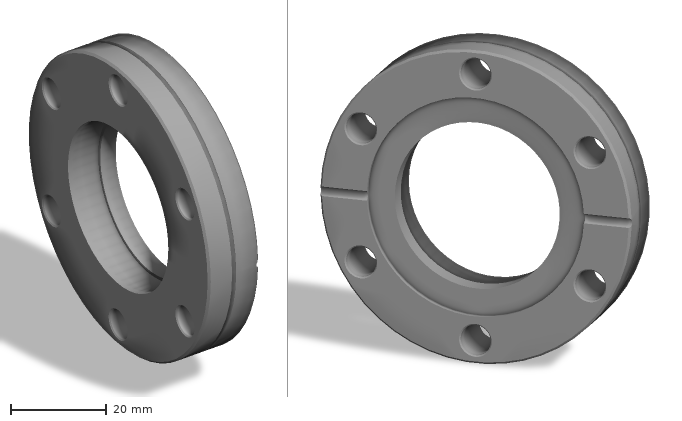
import cadquery as cq

outer_diameter = 69.1
thickness = 12.7
rim_chamfer = 0.5

bore_diameter = 36.6
counterbore_diameter = 38.2
counterbore_depth = 7.6

recess_diameter = 48.2
recess_depth = 1.25

bolt_count = 6
bolt_circle_diameter = 58.75
bolt_hole_diameter = 6.7
bolt_hole_chamfer = 0.3

rim_groove_width = 1.05
rim_groove_depth = 0.5

leak_groove_radius = 1.1
leak_groove_depth = 0.75

front_y = -thickness / 2
back_y = thickness / 2


def cylinder_along_y(diameter, start_y, length):
    """Solid cylinder on the Y axis, growing towards +Y."""
    plane = cq.Plane(origin=(0, start_y, 0), xDir=(1, 0, 0), normal=(0, 1, 0))
    return cq.Workplane(plane).circle(diameter / 2).extrude(length)


def flange_body():
    disc = cylinder_along_y(outer_diameter, front_y, thickness)
    disc = disc.edges().chamfer(rim_chamfer)
    bore = cylinder_along_y(bore_diameter, front_y, thickness)
    counterbore = cylinder_along_y(counterbore_diameter, front_y, counterbore_depth)
    recess = cylinder_along_y(recess_diameter, back_y - recess_depth, recess_depth)
    return disc.cut(bore).cut(counterbore).cut(recess)


def bolt_holes():
    """Through holes, chamfered at both faces."""
    hole_radius = bolt_hole_diameter / 2
    mouth_radius = hole_radius + bolt_hole_chamfer
    cutter = (
        cq.Workplane("XY")
        .moveTo(0, front_y)
        .lineTo(mouth_radius, front_y)
        .lineTo(hole_radius, front_y + bolt_hole_chamfer)
        .lineTo(hole_radius, back_y - bolt_hole_chamfer)
        .lineTo(mouth_radius, back_y)
        .lineTo(0, back_y)
        .close()
        .revolve(360, (0, 0, 0), (0, 1, 0))
        .translate((0, 0, bolt_circle_diameter / 2))
    )
    holes = cq.Workplane("XY")
    for index in range(bolt_count):
        angle = index * 360 / bolt_count
        holes = holes.add(cutter.rotate((0, 0, 0), (0, 1, 0), angle))
    return holes.combine()


def rim_groove():
    outer_radius = outer_diameter / 2
    half_width = rim_groove_width / 2
    return (
        cq.Workplane("XY")
        .moveTo(outer_radius, -half_width)
        .threePointArc((outer_radius - rim_groove_depth, 0), (outer_radius, half_width))
        .lineTo(outer_radius + half_width, half_width)
        .lineTo(outer_radius + half_width, -half_width)
        .close()
        .revolve(360, (0, 0, 0), (0, 1, 0))
    )


def leak_groove():
    axis_y = back_y - leak_groove_depth + leak_groove_radius
    return (
        cq.Workplane("YZ")
        .center(axis_y, 0)
        .circle(leak_groove_radius)
        .extrude(outer_diameter / 2, both=True)
    )


result = flange_body().cut(bolt_holes()).cut(rim_groove()).cut(leak_groove())